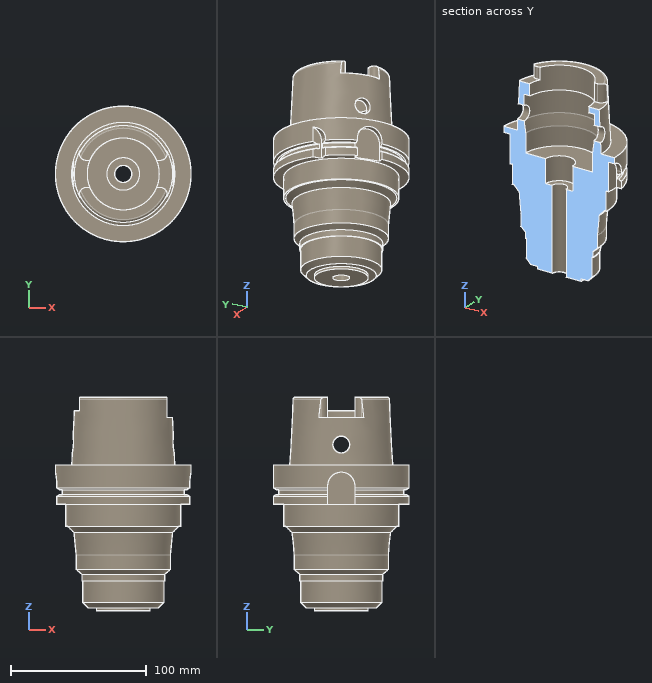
import cadquery as cq


SHANK_LENGTH = 50.0
SHANK_BASE_RADIUS = 38.05
SHANK_TAPER = 0.05
SHANK_TIP_FILLET = 2.0

FLANGE_RADIUS = 50.0
FLANGE_BOTTOM = -29.0
GROOVE_CENTER = -20.0
GROOVE_HEIGHT = 3.5
GROOVE_FLOOR_RADIUS = 46.1
GROOVE_BEVEL_WIDTH = 2.2
GROOVE_BEVEL_HEIGHT = 1.3

NECK_RADIUS = 42.5
NECK_BOTTOM = -45.2
NECK_LEDGE = 1.6
SHOULDER_DROP = 4.5
SLEEVE_RADIUS = 34.8
SLEEVE_TOP = -66.3
SLEEVE_BOTTOM = -76.8
SLEEVE_BEVEL = 3.8
COLLAR_RADIUS = 30.6
COLLAR_BOTTOM = -85.4
NOSE_RADIUS = 30.0
NOSE_BOTTOM = -105.4
NOSE_CHAMFER = 4.2
PAD_RADIUS = 19.8
PART_BOTTOM = -107.4

MOUTH_RADIUS = 26.5
MOUTH_DEPTH = 20.0
CHAMBER_RADIUS = 31.5
CHAMBER_BOTTOM = 9.6
POCKET_RADIUS = 30.0
POCKET_TOP = -0.4
POCKET_FLOOR = -16.5
COUNTERBORE_RADIUS = 12.0
COUNTERBORE_DEPTH = 20.0
THROUGH_HOLE_RADIUS = 6.2

NOTCH_WIDTH = 20.0
NOTCH_CORNER_RADIUS = 5.0
NOTCH_FLAT_X = 32.3
NOTCH_DEPTH_MINUS_X = 10.0
NOTCH_DEPTH_PLUS_X = 15.0

CROSS_HOLE_RADIUS = 6.1
CROSS_HOLE_Z = 15.0

SLOT_WIDTH = 20.0
SLOT_TOP = -5.3
KEYWAY_FLOOR_X = 44.5
SIDE_SLOT_FLOOR_X = 32.1
SIDE_SLOT_CENTER_Y = 41.3

CUTTER_REACH = 60.0


def make_body():
    """Revolve the outer profile of the shank, flange and stepped body."""
    tip_radius = SHANK_BASE_RADIUS - SHANK_TAPER * SHANK_LENGTH
    groove_top = GROOVE_CENTER + GROOVE_HEIGHT / 2
    groove_bottom = GROOVE_CENTER - GROOVE_HEIGHT / 2
    bevel_radius = FLANGE_RADIUS - GROOVE_BEVEL_WIDTH
    shoulder_radius = NECK_RADIUS - NECK_LEDGE
    profile = [
        (0, SHANK_LENGTH),
        (tip_radius, SHANK_LENGTH),
        (SHANK_BASE_RADIUS, 0),
        (FLANGE_RADIUS, 0),
        (FLANGE_RADIUS, groove_top + GROOVE_BEVEL_HEIGHT),
        (bevel_radius, groove_top),
        (GROOVE_FLOOR_RADIUS, groove_top),
        (GROOVE_FLOOR_RADIUS, groove_bottom),
        (bevel_radius, groove_bottom),
        (FLANGE_RADIUS, groove_bottom - GROOVE_BEVEL_HEIGHT),
        (FLANGE_RADIUS, FLANGE_BOTTOM),
        (NECK_RADIUS, FLANGE_BOTTOM),
        (NECK_RADIUS, NECK_BOTTOM),
        (shoulder_radius, NECK_BOTTOM),
        (shoulder_radius - SHOULDER_DROP, NECK_BOTTOM - SHOULDER_DROP),
        (SLEEVE_RADIUS, SLEEVE_TOP),
        (SLEEVE_RADIUS, SLEEVE_BOTTOM),
        (COLLAR_RADIUS, SLEEVE_BOTTOM - SLEEVE_BEVEL),
        (COLLAR_RADIUS, COLLAR_BOTTOM),
        (NOSE_RADIUS, COLLAR_BOTTOM),
        (NOSE_RADIUS, NOSE_BOTTOM + NOSE_CHAMFER),
        (NOSE_RADIUS - NOSE_CHAMFER, NOSE_BOTTOM),
        (PAD_RADIUS, NOSE_BOTTOM),
        (PAD_RADIUS, PART_BOTTOM),
        (0, PART_BOTTOM),
    ]
    body = cq.Workplane("XZ").polyline(profile).close().revolve(360, (0, 0), (0, 1))
    return body.faces(">Z").edges().fillet(SHANK_TIP_FILLET)


def make_bore():
    """Revolve the stepped bore that runs through the whole part."""
    chamber_top = SHANK_LENGTH - MOUTH_DEPTH
    counterbore_floor = POCKET_FLOOR - COUNTERBORE_DEPTH
    profile = [
        (0, SHANK_LENGTH),
        (MOUTH_RADIUS, SHANK_LENGTH),
        (MOUTH_RADIUS, chamber_top),
        (CHAMBER_RADIUS, chamber_top),
        (CHAMBER_RADIUS, CHAMBER_BOTTOM),
        (POCKET_RADIUS, POCKET_TOP),
        (POCKET_RADIUS, POCKET_FLOOR),
        (COUNTERBORE_RADIUS, POCKET_FLOOR),
        (COUNTERBORE_RADIUS, counterbore_floor),
        (THROUGH_HOLE_RADIUS, counterbore_floor),
        (THROUGH_HOLE_RADIUS, PART_BOTTOM),
        (0, PART_BOTTOM),
    ]
    return cq.Workplane("XZ").polyline(profile).close().revolve(360, (0, 0), (0, 1))


def make_drive_notch(side, depth):
    """Notch on the +X (side = 1) or -X (side = -1) half, flaring outwards over rounded corners."""
    half_width = NOTCH_WIDTH / 2
    corner_x = NOTCH_FLAT_X - NOTCH_CORNER_RADIUS
    flare_y = half_width + NOTCH_CORNER_RADIUS
    outline = (
        cq.Workplane("XY", origin=(0, 0, SHANK_LENGTH - depth))
        .moveTo(0, -half_width)
        .lineTo(side * corner_x, -half_width)
        .tangentArcPoint((side * NOTCH_FLAT_X, -flare_y), relative=False)
        .lineTo(side * NOTCH_FLAT_X, -CUTTER_REACH)
        .lineTo(side * CUTTER_REACH, -CUTTER_REACH)
        .lineTo(side * CUTTER_REACH, CUTTER_REACH)
        .lineTo(side * NOTCH_FLAT_X, CUTTER_REACH)
        .lineTo(side * NOTCH_FLAT_X, flare_y)
        .tangentArcPoint((side * corner_x, half_width), relative=False)
        .lineTo(0, half_width)
        .close()
    )
    return outline.extrude(depth)


def make_cross_hole():
    """Hole along X through both walls of the shank."""
    start = cq.Workplane("YZ", origin=(-CUTTER_REACH, 0, CROSS_HOLE_Z))
    return start.circle(CROSS_HOLE_RADIUS).extrude(2 * CUTTER_REACH)


def make_flange_slot(floor_x, center_y, side):
    """Round-topped slot with a flat floor, open at the flange rim and underside."""
    half_width = SLOT_WIDTH / 2
    arc_base = SLOT_TOP - half_width
    outline = (
        cq.Workplane("YZ", origin=(side * floor_x, 0, 0))
        .moveTo(center_y - half_width, FLANGE_BOTTOM)
        .lineTo(center_y - half_width, arc_base)
        .threePointArc((center_y, SLOT_TOP), (center_y + half_width, arc_base))
        .lineTo(center_y + half_width, FLANGE_BOTTOM)
        .close()
    )
    return outline.extrude(side * (CUTTER_REACH - floor_x))


result = make_body().cut(make_bore()).cut(make_cross_hole())
result = result.cut(make_drive_notch(-1, NOTCH_DEPTH_MINUS_X))
result = result.cut(make_drive_notch(1, NOTCH_DEPTH_PLUS_X))
for keyway_side in (-1, 1):
    result = result.cut(make_flange_slot(KEYWAY_FLOOR_X, 0, keyway_side))
result = result.cut(make_flange_slot(SIDE_SLOT_FLOOR_X, SIDE_SLOT_CENTER_Y, -1))